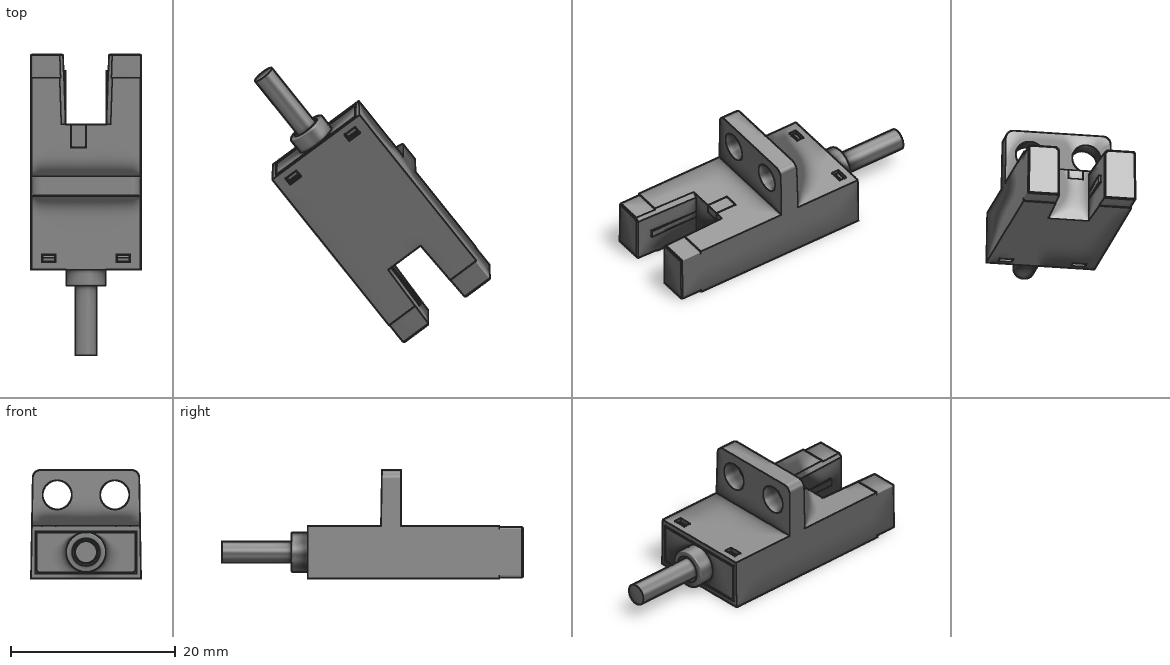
import cadquery as cq
import math


base_half_width = 6.7
draft = math.tan(math.radians(1))
body_length = 26.17
body_height = 6.4
tip_length = 2.9
tip_step = 0.1
tip_side_radius = 0.25
tip_front_chamfer = 0.15

slot_root_y = 17.65
slot_root_half_width = 2.5
slot_tip_half_width = 2.78
slot_bevel = 0.5

flange_front_y = 11.35
flange_thickness = 2.35
flange_top_z = 13.2
flange_corner_radius = 1.0
mount_hole_diameter = 3.5
mount_hole_spacing = 7.0
mount_hole_z = 10.17

recess_half_width = 6.15
recess_bottom_z = 0.62
recess_top_z = 5.75
recess_depth = 2.93
cap_gap = 0.2
cap_corner_radius = 0.22

latch_spacing = 9.05
latch_width = 1.45
latch_length = 0.77
latch_height = 0.5
latch_slope = 0.33
latch_rear_y = 1.0
window_gap = 0.1

axis_z = 3.22
collar_radius = 2.4
collar_length = 1.98
collar_edge_radius = 0.2
mouth_radius = 1.7
mouth_root_radius = 1.43
mouth_depth = 1.0
cable_radius = 1.3
cable_length = 10.43

indicator_center_x = -0.9
indicator_width = 1.75
indicator_length = 2.78
indicator_depth = 1.1
indicator_gap = 0.055
indicator_corner_radius = 0.15

lens_height = 0.88
lens_length = 6.5
lens_depth = 0.75

cap_half_width = recess_half_width - cap_gap
cap_bottom_z = recess_bottom_z + cap_gap
cap_top_z = recess_top_z - cap_gap
window_width = latch_width + 2 * window_gap
window_length = latch_length + 2 * window_gap


def box(x_range, y_range, z_range):
    """Box between the two limits given for each axis."""
    size = [high - low for low, high in (x_range, y_range, z_range)]
    corner = (x_range[0], y_range[0], z_range[0])
    return cq.Workplane("XY").box(*size, centered=False).translate(corner)


def drafted_block(y_range, z_range):
    """Block as wide as the housing, narrowing upwards with the draft of its sides."""
    bottom_z, top_z = z_range
    bottom_half = base_half_width - draft * bottom_z
    top_half = base_half_width - draft * top_z
    outline = [(-bottom_half, bottom_z), (bottom_half, bottom_z), (top_half, top_z), (-top_half, top_z)]
    rear_y, front_y = y_range
    return cq.Workplane("XZ", origin=(0, rear_y, 0)).polyline(outline).close().extrude(rear_y - front_y)


def make_body():
    tip_rear_y = body_length - tip_length
    body = drafted_block((0, tip_rear_y), (0, body_height))
    tip = drafted_block((tip_rear_y, body_length), (tip_step, body_height - tip_step))
    tip = tip.edges("|Y").fillet(tip_side_radius)
    return body.union(tip)


def make_slot():
    """Slot that opens towards the tips, with beveled upper edges along its walls."""

    def outline(plane, widening):
        root_half = slot_root_half_width + widening
        tip_half = slot_tip_half_width + widening
        points = [
            (-root_half, slot_root_y),
            (root_half, slot_root_y),
            (tip_half, body_length),
            (-tip_half, body_length),
        ]
        return plane.polyline(points).close()

    slot = outline(cq.Workplane("XY"), 0).extrude(body_height)
    bevel_base = outline(cq.Workplane("XY", origin=(0, 0, body_height - slot_bevel)), 0)
    bevel = outline(bevel_base.workplane(offset=slot_bevel), slot_bevel).loft(ruled=True)
    return slot.union(bevel)


def make_flange():
    """Upright plate with rounded top corners and a rear face that leans with the draft."""
    rear_y = flange_front_y - flange_thickness
    root_y = rear_y - draft * (flange_top_z - body_height)
    plate = drafted_block((root_y, flange_front_y), (0, flange_top_z))
    plate = plate.edges("|Y and >Z").fillet(flange_corner_radius)
    waste = (
        cq.Workplane("YZ")
        .polyline([(root_y, body_height), (rear_y, flange_top_z), (root_y, flange_top_z)])
        .close()
        .extrude(base_half_width, both=True)
    )
    holes = (
        cq.Workplane("XZ", origin=(0, 0, mount_hole_z))
        .rarray(mount_hole_spacing, 0.35, 2, 1)
        .circle(mount_hole_diameter / 2)
        .extrude(-flange_front_y)
    )
    return plate.cut(waste).cut(holes)


def make_latch_windows():
    rear_y = latch_rear_y - window_gap
    windows = cq.Workplane("XY", origin=(0, rear_y + window_length / 2, 0))
    return windows.rarray(latch_spacing, 0.35, 2, 1).rect(window_width, window_length).extrude(body_height)


def make_lens(side):
    """Strip in a slot wall, its face level with the slot root; side is -1 or 1."""
    x_range = sorted([side * slot_root_half_width, side * (slot_root_half_width + lens_depth)])
    y_range = (slot_root_y, slot_root_y + lens_length)
    z_range = ((body_height - lens_height) / 2, (body_height + lens_height) / 2)
    return box(x_range, y_range, z_range)


def make_indicator_block(gap):
    """Indicator light, or its pocket when a gap is added at its sides and rear."""
    half_width = indicator_width / 2 + gap
    return box(
        (indicator_center_x - half_width, indicator_center_x + half_width),
        (slot_root_y - indicator_length - gap, slot_root_y),
        (body_height - indicator_depth, body_height),
    )


def make_indicator():
    return make_indicator_block(0).edges("|Z and <Y").fillet(indicator_corner_radius)


def make_housing(lenses):
    housing = make_body().cut(make_slot())
    housing = housing.faces(">Y").chamfer(tip_front_chamfer)
    housing = housing.union(make_flange())
    recess = box(
        (-recess_half_width, recess_half_width),
        (0, recess_depth),
        (recess_bottom_z, recess_top_z),
    )
    housing = housing.cut(recess).cut(make_latch_windows()).cut(make_indicator_block(indicator_gap))
    for lens in lenses:
        housing = housing.cut(lens)
    return housing


def make_latch(x):
    """Upper and lower hook at one side of the cap, each sloping down at its inner end."""
    front_y = latch_rear_y + latch_length
    bottom_z = cap_bottom_z - latch_height
    top_z = cap_top_z + latch_height
    outline = [
        (latch_rear_y, bottom_z),
        (front_y - latch_slope, bottom_z),
        (front_y, bottom_z + latch_slope),
        (front_y, top_z - latch_slope),
        (front_y - latch_slope, top_z),
        (latch_rear_y, top_z),
    ]
    return cq.Workplane("YZ", origin=(x, 0, 0)).polyline(outline).close().extrude(latch_width / 2, both=True)


def make_cap():
    cap = box(
        (-cap_half_width, cap_half_width),
        (0, recess_depth),
        (cap_bottom_z, cap_top_z),
    )
    cap = cap.edges("|Y and <Z").fillet(cap_corner_radius)
    for side in (-1, 1):
        cap = cap.union(make_latch(side * latch_spacing / 2))
    collar = cq.Workplane("XZ", origin=(0, 0, axis_z)).circle(collar_radius).extrude(collar_length)
    collar = collar.faces("<Y").edges().fillet(collar_edge_radius)
    mouth = cq.Solid.makeCone(
        mouth_root_radius,
        mouth_radius,
        mouth_depth,
        pnt=cq.Vector(0, mouth_depth - collar_length, axis_z),
        dir=cq.Vector(0, -1, 0),
    )
    return cap.union(collar).cut(cq.Workplane(mouth))


def make_cable():
    return cq.Workplane("XZ", origin=(0, 0, axis_z)).circle(cable_radius).extrude(cable_length)


lenses = [make_lens(side) for side in (-1, 1)]
housing = make_housing(lenses)
indicator = make_indicator()
cable = make_cable()
cap = make_cap().cut(cable)

result = cq.Compound.makeCompound(
    [housing.val(), cap.val(), cable.val(), indicator.val(), *[lens.val() for lens in lenses]]
)